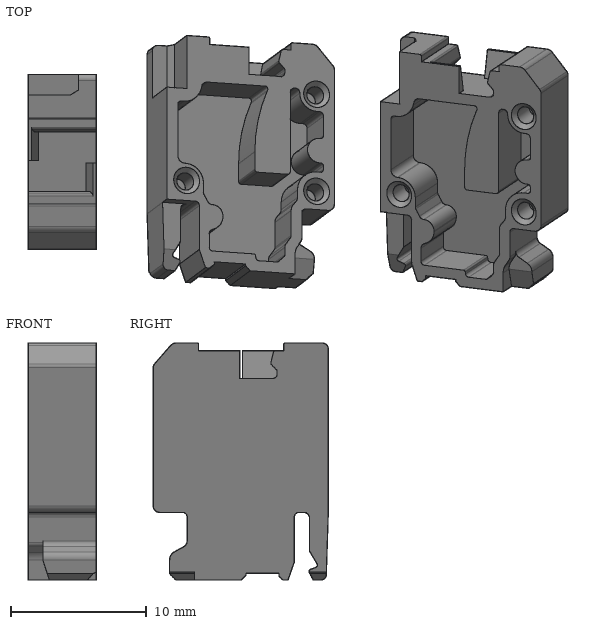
import cadquery as cq
import math


thickness = 5.0
depth = 12.9
height = 17.45
overhang_z = 4.97
shoulder_z = 16.9
front_shoulder_y = 3.35
back_shoulder_y = 9.6
front_wall_y = 2.5
back_wall_y = 10.4
heel_y = 3.04
heel_top_z = 2.62
heel_bottom_z = 1.78
heel_top_radius = 0.47
heel_bottom_radius = 1.05
back_taper_y = 9.93
back_taper_z = 1.35

back_top_radius = 0.45
top_chamfer_run = 1.45
top_chamfer_drop = 1.65
top_chamfer_radius = 0.58
front_chamfer_radius = 0.42
front_bottom_radius = 0.49
shoulder_radius = 0.12
inner_radius = 0.31

recess_front_y = 6.84
recess_back_y = 9.25
recess_height = 0.49
recess_front_chamfer = 0.35
recess_back_chamfer = 0.3

clip_x = 1.08
clip_tip_x = 1.55
clip_taper_z = 1.47
clip_overlap = 0.52
tip_corner_x = 4.35
tip_corner_z = 0.6
tip_kink_x = 4.76
tip_kink_z = 0.47

hook_front_y = 1.2
hook_chamfer = 0.47
hook_shoulder_z = 1.88
hook_shoulder_radius = 0.7
hook_root_z = 2.6
hook_root_radius = 0.49
hook_overlap_z = 3.49

leg_front_y = 11.5
leg_bottom_back_y = 12.74
leg_bottom_front_y = 11.78
leg_bottom_radius = 0.42
leg_barb_y = 11.4
leg_barb_z = 0.73
leg_notch_y = 12.16
leg_notch_z = 1.01
leg_slope_top_z = 2.13
leg_root_radius = 0.42
leg_tip_radius = 0.17

front_pin_y = 1.38
upper_pin_z = 13.68
lower_pin_z = 6.35
back_pin_y = 11.38
back_pin_z = 6.5
pin_centers = [(front_pin_y, upper_pin_z), (front_pin_y, lower_pin_z), (back_pin_y, back_pin_z)]
pin_radius = 0.65
pin_mouth_radius = 1.0
pin_cone_depth = 0.35
pin_hole_depth = 2.45

pocket_depth = 4.1
pocket_radius = 0.21
pocket_front_y = 0.85
pocket_back_y = 12.04
pocket_top_z = 14.03
pocket_wrap = 1.3
lower_front_wrap = 1.47
back_wrap_radius = 1.4
front_corner_radius = 0.33
back_bottom_radius = 0.52
back_top_z = 12.46
back_ledge_y = 10.54
back_ledge_radius = 1.4
back_ledge_top_y = 10.1
back_ledge_top_radius = 0.44
back_ledge_corner_radius = 0.26

tongue_front_y = 3.4
tongue_back_y = 6.12
tongue_bottom_z = 7.49
tongue_bend_z = 11.43
tongue_top_y = 5.03
tongue_arc_radius = 11.87
finger_radius = 0.35

bump_radius = 0.92
bump_z = 9.44
bump_tip_y = 2.08

waist_y = 3.33
waist_top_z = 5.03
waist_bottom_z = 2.8
waist_start_z = 5.62
waist_start_radius = 0.44
waist_top_radius = 0.7
waist_bottom_radius = 0.26

sump_front_y = 3.82
sump_top_z = 2.1
sump_top_radius = 0.44
sump_corner_z = 1.31
sump_bottom_front_y = 4.36
sump_bottom_back_y = 6.02
sump_back_y = 6.09
sump_z = 0.8
sump_radius = 0.17
sump_back_radius = 0.26
sump_rim_radius = 0.14

pocket_bottom_z = 1.3
lower_back_y = 9.63
lower_back_radius = 0.28
back_bump_y = 8.59
back_bump_foot_z = 2.83
back_bump_foot_radius = 0.38
back_bump_bottom_z = 3.25
back_bump_bottom_radius = 1.05
back_bump_top_z = 4.8
back_bump_top_radius = 0.8
back_bump_root_radius = 0.4
back_slope_z = 5.6
back_slope_radius = 0.26

slot_floor_z = 14.83
slot_mouth_y = 4.07
slot_neck_y = 4.31
slot_neck_z = 15.91
slot_undercut_y = 3.82
slot_undercut_z = 15.43
slot_radius = 0.17
slot_lip_radius = 0.14
slot_floor_radius = 0.33
slot_mid_y = (front_shoulder_y + back_shoulder_y) / 2
side_wall_gap = 0.17
side_wall_length = 3.23
side_wall_top = 0.25
side_wall_base = 0.77

notch_z = 13.44
notch_wall_x = 3.68
notch_ramp_x = 3.09
notch_shallow = 1.15
notch_deep = 1.54

same_point = 1.75e-07


def polar_point(y, z, angle, distance):
    return (y + distance * math.cos(angle), z + distance * math.sin(angle))


def rounded_prism(corners, start_x, end_x):
    """Extrude a closed YZ outline along X, rounding the corners that carry a radius."""
    count = len(corners)
    entries = []
    for i in range(count):
        y, z = corners[i][:2]
        if len(corners[i]) == 2:
            entries.append(((y, z), None, (y, z)))
            continue
        radius = corners[i][2]
        before = corners[i - 1]
        after = corners[(i + 1) % count]
        angle_in = math.atan2(before[1] - z, before[0] - y)
        angle_out = math.atan2(after[1] - z, after[0] - y)
        half_turn = math.remainder(angle_out - angle_in, math.tau) / 2
        half = abs(half_turn)
        tangent = radius / math.tan(half)
        bisector = angle_in + half_turn
        reach = radius / math.sin(half) - radius
        arc_start = polar_point(y, z, angle_in, tangent)
        arc_middle = polar_point(y, z, bisector, reach)
        arc_end = polar_point(y, z, angle_out, tangent)
        entries.append((arc_start, arc_middle, arc_end))

    outline = cq.Workplane("YZ", origin=(start_x, 0, 0)).moveTo(*entries[0][2])
    position = entries[0][2]
    for arc_start, arc_middle, arc_end in entries[1:] + entries[:1]:
        if math.dist(position, arc_start) > same_point:
            outline = outline.lineTo(*arc_start)
        if arc_middle:
            outline = outline.threePointArc(arc_middle, arc_end)
        position = arc_end
    return outline.close().extrude(end_x - start_x)


def make_core():
    return rounded_prism([
        (depth, height, back_top_radius),
        (back_shoulder_y, height, shoulder_radius),
        (back_shoulder_y, shoulder_z),
        (front_shoulder_y, shoulder_z),
        (front_shoulder_y, height, shoulder_radius),
        (top_chamfer_run, height, top_chamfer_radius),
        (0, height - top_chamfer_drop, front_chamfer_radius),
        (0, overhang_z, front_bottom_radius),
        (front_wall_y, overhang_z, inner_radius),
        (front_wall_y, heel_top_z, heel_top_radius),
        (heel_y, heel_bottom_z, heel_bottom_radius),
        (heel_y, 0),
        (recess_front_y - recess_front_chamfer, 0),
        (recess_front_y, recess_front_chamfer),
        (recess_front_y, recess_height),
        (recess_back_y, recess_height),
        (recess_back_y, recess_back_chamfer),
        (recess_back_y + recess_back_chamfer, 0),
        (back_taper_y, 0),
        (back_wall_y, back_taper_z),
        (back_wall_y, overhang_z, inner_radius),
        (depth, overhang_z),
    ], 0, thickness)


def make_hook():
    hook_back_y = heel_y + clip_overlap
    return rounded_prism([
        (hook_back_y, 0),
        (hook_front_y + hook_chamfer, 0),
        (hook_front_y, hook_chamfer),
        (hook_front_y, hook_shoulder_z, hook_shoulder_radius),
        (front_wall_y, hook_root_z, hook_root_radius),
        (front_wall_y, hook_overlap_z),
        (hook_back_y, hook_overlap_z),
    ], clip_x, thickness)


def make_leg():
    leg_top_z = overhang_z + clip_overlap
    leg_root_y = leg_front_y - clip_overlap
    return rounded_prism([
        (depth, leg_top_z),
        (depth, overhang_z),
        (leg_bottom_back_y, 0, leg_bottom_radius),
        (leg_bottom_front_y, 0),
        (leg_barb_y, leg_barb_z, leg_tip_radius),
        (leg_notch_y, leg_notch_z, leg_tip_radius),
        (leg_front_y, leg_slope_top_z),
        (leg_front_y, overhang_z, leg_root_radius),
        (leg_root_y, overhang_z),
        (leg_root_y, leg_top_z),
    ], clip_x, thickness)


def trim_clip_tips(clips):
    """Narrow the clip tips from both sides in X."""
    near_cut = [(clip_x, 0), (clip_x, clip_taper_z), (clip_tip_x, 0)]
    far_cut = [(tip_corner_x, 0), (tip_kink_x, tip_kink_z), (thickness, tip_corner_z), (thickness, 0)]
    for profile in (near_cut, far_cut):
        clips = clips.cut(cq.Workplane("XZ").polyline(profile).close().extrude(-depth))
    return clips


def make_pocket():
    upper_pin_side = front_pin_y + pocket_wrap
    lower_pin_side = front_pin_y + lower_front_wrap
    lower_pin_top = lower_pin_z + lower_front_wrap
    back_pin_side = back_pin_y - pocket_wrap
    back_pin_top = back_pin_z + pocket_wrap
    tongue_side = [
        (back_ledge_top_y, pocket_top_z, back_ledge_top_radius),
        (tongue_top_y, pocket_top_z, pocket_radius),
        (tongue_back_y, tongue_bend_z, tongue_arc_radius),
        (tongue_back_y, tongue_bottom_z, pocket_radius),
        (tongue_front_y, tongue_bottom_z, pocket_radius),
        (tongue_front_y, pocket_top_z, finger_radius),
    ]
    front_side = [
        (upper_pin_side, pocket_top_z, finger_radius),
        (upper_pin_side, upper_pin_z - pocket_wrap, pocket_wrap),
        (pocket_front_y, upper_pin_z - pocket_wrap, front_corner_radius),
        (pocket_front_y, bump_z + bump_radius, pocket_radius),
        (bump_tip_y, bump_z + bump_radius, bump_radius),
        (bump_tip_y, bump_z - bump_radius, bump_radius),
        (pocket_front_y, bump_z - bump_radius, pocket_radius),
        (pocket_front_y, lower_pin_top, pocket_radius),
        (lower_pin_side, lower_pin_top, lower_front_wrap),
        (lower_pin_side, waist_start_z, waist_start_radius),
        (waist_y, waist_top_z, waist_top_radius),
        (waist_y, waist_bottom_z, waist_bottom_radius),
    ]
    sump = [
        (sump_front_y, sump_top_z, sump_top_radius),
        (sump_front_y, sump_corner_z, sump_radius),
        (sump_bottom_front_y, sump_z, sump_radius),
        (sump_bottom_back_y, sump_z, sump_back_radius),
        (sump_back_y, pocket_bottom_z, sump_rim_radius),
    ]
    back_side = [
        (lower_back_y, pocket_bottom_z, lower_back_radius),
        (lower_back_y, back_bump_foot_z, back_bump_foot_radius),
        (back_bump_y, back_bump_bottom_z, back_bump_bottom_radius),
        (back_bump_y, back_bump_top_z, back_bump_top_radius),
        (lower_back_y, back_bump_top_z, back_bump_root_radius),
        (back_pin_side, back_slope_z, back_slope_radius),
        (back_pin_side, back_pin_top, back_wrap_radius),
        (pocket_back_y, back_pin_top, back_bottom_radius),
        (pocket_back_y, back_top_z, back_ledge_corner_radius),
        (back_ledge_y, back_top_z, back_ledge_radius),
    ]
    return rounded_prism(tongue_side + front_side + sump + back_side, 0, pocket_depth)


def make_pin_hole(center):
    start = cq.Workplane("YZ").center(*center)
    bore = start.circle(pin_radius).extrude(pin_hole_depth)
    cone = start.circle(pin_mouth_radius).workplane(offset=pin_cone_depth).circle(pin_radius).loft()
    return bore.union(cone)


def make_slot():
    """Undercut slot, alike front and back, less a tapered wall along half of each X side."""
    rim_y = front_shoulder_y + shoulder_radius
    front_half = [
        (rim_y, height),
        (rim_y, shoulder_z),
        (slot_mouth_y, shoulder_z, slot_lip_radius),
        (slot_neck_y, slot_neck_z, slot_radius),
        (slot_undercut_y, slot_undercut_z, slot_radius),
        (slot_undercut_y, slot_floor_z, slot_floor_radius),
    ]
    back_half = [(2 * slot_mid_y - corner[0], *corner[1:]) for corner in reversed(front_half)]
    slot = rounded_prism(front_half + back_half, 0, thickness)

    wall_profile = [
        (0, slot_floor_z),
        (side_wall_base, slot_floor_z),
        (side_wall_top, shoulder_z),
        (0, shoulder_z),
    ]
    back_wall = (
        cq.Workplane("XZ", origin=(0, slot_mid_y + side_wall_gap / 2, 0))
        .polyline(wall_profile).close().extrude(-side_wall_length)
    )
    front_wall = back_wall.rotate((thickness / 2, slot_mid_y, 0), (thickness / 2, slot_mid_y, 1), 180)
    return slot.cut(back_wall).cut(front_wall)


def make_back_notch():
    return (
        cq.Workplane("XY", origin=(0, 0, notch_z))
        .polyline([
            (0, depth),
            (0, depth - notch_deep),
            (notch_ramp_x, depth - notch_deep),
            (notch_wall_x, depth - notch_shallow),
            (notch_wall_x, depth),
        ])
        .close().extrude(height - notch_z)
    )


clips = trim_clip_tips(make_hook().union(make_leg()))
result = make_core().union(clips)
result = result.cut(make_pocket()).cut(make_slot()).cut(make_back_notch())
for pin_center in pin_centers:
    result = result.cut(make_pin_hole(pin_center))